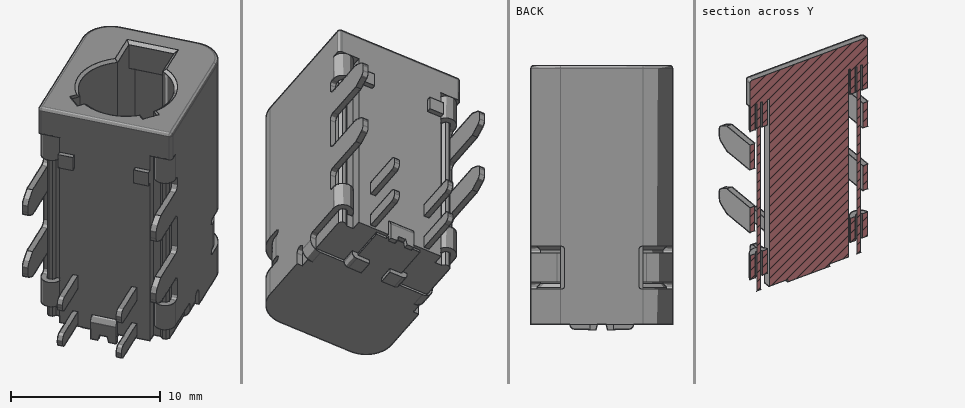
import cadquery as cq

width = 9.5
depth = 10.9
height = 17.31
corner_radius = 2.0
edge_round = 0.21
sheet = 0.4
cap_bottom = 15.22
floor_z = 0.2
half_width = width / 2
core_x = half_width - sheet

bore_y = 4.27
bore_radius = 3.2
bore_floor = 5.31
lead_in = 0.23
lead_in_depth = 0.18
key_half_width = 1.6
key_back = 9.25
key_lead_in_back = 0.3
notch_width = 1.2
notch_reach = 3.88
notch_lead_in = 0.07

panel_half_width = 3.2
hook_radius = 0.73
hook_x = half_width - hook_radius
hook_bore = hook_radius - sheet
rib_chamfer = 0.2
window_back = 1.13
hook_round = 0.25
pin_root_round = 0.39
hook_spans = ((1.31, 3.27), (13.2, cap_bottom))

pin_tip_y = -3.1
shell_pin_height = 2.02
shell_pin_centres = (6.1, 11.13)
shell_pin_taper_y = -2.18
shell_pin_tip_half = 0.51
shell_pin_round = 0.45
contact_x = 2.09
contact_width = 0.37
contact_spans = ((0.39, 1.38), (3.25, 4.32))
contact_round = 0.42

bump_inner_x = 2.16
bump_bottom = 13.0
bump_top = 14.05
front_step = 0.32
tab_half_width = 0.9
tab_bottom = -0.39
tab_top = 1.4
tab_bend = 0.46
tab_notch_top = 0.05
tab_notch_half_top = 0.27
tab_notch_half_bottom = 0.39

skirt_top = hook_spans[0][0]
skirt_round = 0.27
strap_front = 3.66
strap_back = 4.73
strap_bend = 0.78
slot_width = 0.69
foot_front = 2.6
foot_bottom = -0.34
foot_inner_x = 0.8
foot_outer_x = 2.15
foot_round = 0.35
plate_front = 0.21
plate_half_width = 1.7

rear_window_bottom = 2.35
rear_window_top = 5.22
rear_window_front = 7.88
rear_window_overrun = 0.27
rear_window_round = 0.21
tongue_bottom = 2.81
tongue_top = rear_window_top + rear_window_bottom - tongue_bottom
tongue_back = 9.93
tongue_round = 1.77
pocket_mouth_bottom = 2.48
pocket_chamfer = 0.27


def block(x0, x1, y0, y1, z0, z1):
    """Axis-aligned box given by its limits."""
    return cq.Workplane("XY").box(x1 - x0, y1 - y0, z1 - z0, centered=False).translate((x0, y0, z0))


def both_sides(shape):
    """The shape together with its mirror image across the X = 0 plane."""
    return shape.union(shape.mirror("YZ"))


def side_profile(points, x0, x1):
    """Outline of (Y, Z) points extruded from x0 to x1."""
    return cq.Workplane("YZ").polyline(points).close().extrude(x1 - x0).translate((x0, 0, 0))


def front_profile(points, y0, y1):
    """Outline of (X, Z) points extruded from y0 to y1."""
    return cq.Workplane("XZ").polyline(points).close().extrude(y0 - y1).translate((0, y0, 0))


def make_body():
    """Solid block with round rear corners and a softened rim."""
    body = block(-half_width, half_width, 0, depth, 0, height)
    body = body.edges("|Z and >Y").fillet(corner_radius)
    return body.edges(">Z or (|Z and <Y)").fillet(edge_round)


def make_bore():
    """Round bore with a rear key, two front notches and a widened mouth."""
    mouth_z = height - lead_in_depth
    bore = cq.Workplane("XY").circle(bore_radius).extrude(height - bore_floor)
    bore = bore.translate((0, bore_y, bore_floor))
    cone = cq.Solid.makeCone(
        bore_radius, bore_radius + lead_in, lead_in_depth, cq.Vector(0, bore_y, mouth_z)
    )
    bore = bore.union(cq.Workplane(cone))

    bore = bore.union(block(-key_half_width, key_half_width, bore_y, key_back, bore_floor, height))
    bore = bore.union(
        block(-key_half_width, key_half_width, bore_y, depth - sheet, bore_floor, cap_bottom)
    )
    key_length = key_back - bore_y
    key_mouth = (
        cq.Workplane("XY", origin=(0, 0, mouth_z))
        .center(0, bore_y + key_length / 2)
        .rect(2 * key_half_width, key_length)
        .workplane(offset=lead_in_depth)
        .center(0, key_lead_in_back / 2)
        .rect(2 * (key_half_width + lead_in), key_length + key_lead_in_back)
        .loft(ruled=True)
    )
    bore = bore.union(key_mouth)

    for angle in (-45, -135):
        inner_reach = notch_reach - notch_lead_in
        inner_half = notch_width / 2 - notch_lead_in
        notch = block(0, inner_reach, -inner_half, inner_half, bore_floor, height)
        mouth = (
            cq.Workplane("XY", origin=(0, 0, mouth_z))
            .center(inner_reach / 2, 0)
            .rect(inner_reach, 2 * inner_half)
            .workplane(offset=lead_in_depth)
            .center(notch_lead_in / 2, 0)
            .rect(notch_reach, notch_width)
            .loft(ruled=True)
        )
        notch = notch.union(mouth).rotate((0, 0, 0), (0, 0, 1), angle)
        bore = bore.union(notch.translate((0, bore_y, 0)))
    return bore


def make_channel():
    """Space in the left front corner, leaving a chamfered rib on its floor."""
    channel = block(-half_width, -panel_half_width, 0, hook_radius, 0, cap_bottom)
    rib = (
        cq.Workplane("XY")
        .polyline([
            (-hook_x - hook_bore, hook_radius),
            (-hook_x - hook_bore + rib_chamfer, hook_radius - rib_chamfer),
            (-hook_x + hook_bore - rib_chamfer, hook_radius - rib_chamfer),
            (-hook_x + hook_bore, hook_radius),
        ])
        .close()
        .extrude(cap_bottom)
    )
    return channel.cut(rib)


def make_shell_windows():
    """Openings in the left shell wall between its hooks and pins."""
    half_pin = shell_pin_height / 2
    low_pin, high_pin = shell_pin_centres
    spans = (
        (hook_spans[0][1], low_pin - half_pin, hook_round, pin_root_round),
        (low_pin + half_pin, high_pin - half_pin, pin_root_round, pin_root_round),
        (high_pin + half_pin, hook_spans[1][0], pin_root_round, hook_round),
    )
    windows = cq.Workplane("XY")
    for bottom, top, bottom_round, top_round in spans:
        window = block(-half_width, -core_x, 0, window_back, bottom, top)
        window = window.edges("|X and >Y and <Z").fillet(bottom_round)
        window = window.edges("|X and >Y and >Z").fillet(top_round)
        windows = windows.add(window)
    return windows.combine()


def make_hooks():
    """Half-round shell hooks that curl around the left rib."""
    hooks = cq.Workplane("XY")
    for bottom, top in hook_spans:
        ring = cq.Workplane("XY").circle(hook_radius).circle(hook_bore).extrude(top - bottom)
        front_half = block(-hook_radius, hook_radius, -hook_radius, 0, 0, top - bottom)
        hook = ring.intersect(front_half).translate((-hook_x, hook_radius, bottom))
        hooks = hooks.add(hook)
    return hooks.combine()


def make_shell_pins():
    """Two tapered mounting pins in the plane of the left shell wall."""
    half_pin = shell_pin_height / 2
    pins = cq.Workplane("XY")
    for centre in shell_pin_centres:
        outline = [
            (window_back, -half_pin),
            (window_back, half_pin),
            (shell_pin_taper_y, half_pin),
            (pin_tip_y, shell_pin_tip_half),
            (pin_tip_y, -shell_pin_tip_half),
            (shell_pin_taper_y, -half_pin),
        ]
        pin = side_profile(outline, -half_width, -core_x)
        pin = pin.edges("|X and <Y").fillet(shell_pin_round)
        pins = pins.add(pin.translate((0, 0, centre)))
    return pins.combine()


def make_contacts():
    """Two slim contact pins left of centre."""
    contacts = cq.Workplane("XY")
    x0 = -contact_x - contact_width / 2
    for bottom, top in contact_spans:
        contact = block(x0, x0 + contact_width, pin_tip_y, sheet, bottom, top)
        contacts = contacts.add(contact.edges("|X and <Y").fillet(contact_round))
    return contacts.combine()


def make_centre_tab():
    """Tab on the front face, bent over at the top and notched at the bottom."""
    tab = block(-tab_half_width, tab_half_width, -front_step, sheet, 0, tab_top)
    tab = tab.edges("|X and >Z and <Y").fillet(tab_bend)
    tab = tab.union(block(-tab_half_width, tab_half_width, -front_step, 0, tab_bottom, tab_bend))
    notch = front_profile(
        [
            (-tab_notch_half_bottom, tab_bottom),
            (-tab_notch_half_top, tab_notch_top),
            (tab_notch_half_top, tab_notch_top),
            (tab_notch_half_bottom, tab_bottom),
        ],
        -front_step,
        0,
    )
    return tab.cut(notch)


def make_skirt_cut():
    """Left lower shell edge: open front, round-topped slot and strap bend."""
    front = block(-half_width, -core_x, 0, strap_front, 0, skirt_top)
    front = front.edges("|X and >Y and >Z").fillet(skirt_round)
    half_slot = slot_width / 2
    slot_top = skirt_top - half_slot
    slot = block(-half_width, -core_x, strap_back, strap_back + slot_width, 0, slot_top)
    slot_end = cq.Workplane("YZ").circle(half_slot).extrude(sheet)
    slot = slot.union(slot_end.translate((-half_width, strap_back + half_slot, slot_top)))
    bend = block(-half_width, -half_width + strap_bend, strap_front, strap_back, 0, strap_bend)
    bend_round = cq.Workplane("XZ").circle(strap_bend).extrude(strap_front - strap_back)
    bend = bend.cut(bend_round.translate((-half_width + strap_bend, strap_front, strap_bend)))
    return front.union(slot).union(bend)


def make_underside():
    """Shell plate under the core and the left foot below it."""
    plate = block(-plate_half_width, plate_half_width, plate_front, strap_front, 0, floor_z)
    foot = block(-foot_outer_x, -foot_inner_x, foot_front, strap_front, foot_bottom, floor_z)
    return plate.union(foot.edges("|Y and <Z and <X").fillet(foot_round))


def make_rear_window():
    """Opening around the left rear corner, leaving a curved shell tongue across it."""
    centre_x = -half_width + corner_radius
    centre_y = depth - corner_radius
    inner_radius = corner_radius - sheet
    pocket_radius = inner_radius - pocket_chamfer
    pocket_x = core_x - pocket_chamfer
    pocket_bottom = pocket_mouth_bottom + pocket_chamfer
    pocket_top = rear_window_top - pocket_chamfer

    section = [
        (-corner_radius, rear_window_bottom),
        (-corner_radius, rear_window_top),
        (-inner_radius, rear_window_top),
        (-pocket_radius, pocket_top),
        (-pocket_radius, pocket_bottom),
        (-inner_radius, pocket_mouth_bottom),
        (-inner_radius, rear_window_bottom),
    ]
    straight = front_profile(section, rear_window_front - centre_y, 0)
    turn = cq.Workplane("XZ").polyline(section).close().revolve(90, (0, 0, 0), (0, -1, 0))
    window = straight.union(turn).translate((centre_x, centre_y, 0))

    overrun_x = centre_x + rear_window_overrun
    overrun = block(centre_x, overrun_x, depth - sheet, depth, rear_window_bottom, rear_window_top)
    window = window.union(overrun.edges("|Y and >X").fillet(rear_window_round))

    half_slot = (tongue_bottom - rear_window_bottom) / 2
    for middle in (rear_window_bottom + half_slot, rear_window_top - half_slot):
        end = block(
            -half_width, -pocket_x, rear_window_front, rear_window_front + half_slot,
            middle - half_slot, middle + half_slot,
        )
        disc = cq.Workplane("YZ").circle(half_slot).extrude(half_width - pocket_x)
        disc = disc.translate((-half_width, rear_window_front + half_slot, middle))
        window = window.cut(end.cut(disc))

    pocket_back = depth - sheet - pocket_chamfer
    pocket = block(-pocket_x, pocket_x, rear_window_front, pocket_back, pocket_bottom, pocket_top)
    pocket = pocket.edges("|Z and >Y").fillet(pocket_radius)
    core = block(-pocket_x, pocket_x, 0, tongue_back - sheet, pocket_bottom, pocket_top)
    core = core.edges("|Z and >Y").fillet(tongue_round - sheet)
    pocket = pocket.cut(core).cut(block(centre_x, pocket_x, 0, depth, pocket_bottom, pocket_top))

    tongue = block(-half_width, 0, 0, tongue_back, tongue_bottom, tongue_top)
    tongue = tongue.edges("|Z and >Y and <X").fillet(tongue_round)
    return window.union(pocket).cut(tongue)


result = make_body().cut(make_bore())
result = result.cut(both_sides(make_channel()))
result = result.cut(both_sides(make_shell_windows()))
result = result.cut(both_sides(make_skirt_cut()))
result = result.cut(both_sides(make_rear_window()))
result = result.cut(block(-half_width, half_width, 0, strap_front, 0, floor_z))

bump = block(-panel_half_width, -bump_inner_x, -front_step, 0, bump_bottom, bump_top)
for feature in (make_hooks(), make_shell_pins(), make_contacts(), bump, make_underside()):
    result = result.union(both_sides(feature))
result = result.union(make_centre_tab())